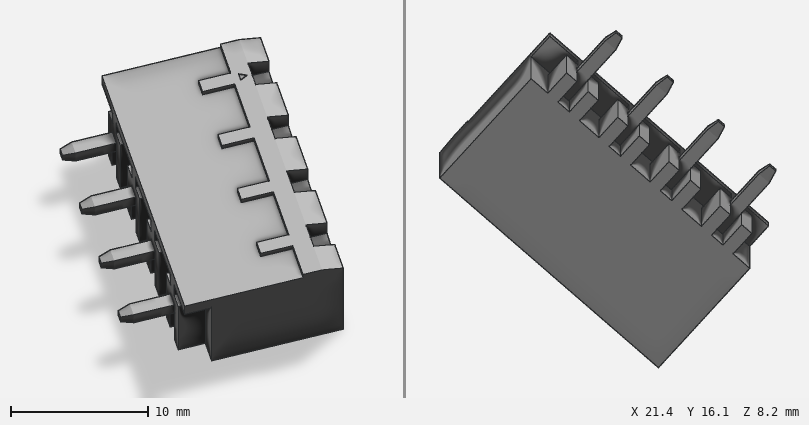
import cadquery as cq

width = 21.4
total_length = 16.1
total_height = 8.2
pin_projection = 4.02
housing_depth = total_length - pin_projection
rear_y = 0
mating_y = rear_y + housing_depth

contact_count = 4
pitch = 5.0
contact_xs = [(i - (contact_count - 1) / 2) * pitch for i in range(contact_count)]

rib_height = 0.4
deck_z = total_height - rib_height
bevel_depth = 1.6
rib_reach = 3.05
tab_reach = 5.5
tab_width = 1.03

notch_width = 2.0
notch_depth = 1.71
notch_sag = 0.15

recess_depth = 2.05
deck_thickness = 1.05
recess_z = deck_z - deck_thickness
support_width = 3.1
support_height = 5.48
stem_width = 0.9

pin_side = 1.03
pin_tip_side = 0.6
pin_tip_length = 0.95
pin_z = 3.77
channel_width = 1.11
channel_height = pin_z + channel_width / 2

mark_width = 0.55
mark_height = 0.54
mark_apex_reach = 2.0
mark_depth = 0.09


def box(x_size, y_min, y_max, z_min, z_max, x_center=0):
    """Box centred on x_center, spanning the given Y and Z ranges."""
    size = (x_size, y_max - y_min, z_max - z_min)
    corner = (x_center - x_size / 2, y_min, z_min)
    return cq.Workplane("XY").box(*size, centered=False).translate(corner)


def housing():
    """Main block with the bevelled rib swept along its whole width."""
    profile = [
        (rear_y, 0),
        (mating_y, 0),
        (mating_y, deck_z),
        (mating_y - bevel_depth, total_height),
        (mating_y - rib_reach, total_height),
        (mating_y - rib_reach, deck_z),
        (rear_y, deck_z),
    ]
    return cq.Workplane("YZ").polyline(profile).close().extrude(width / 2, both=True)


def tab(x):
    return box(tab_width, mating_y - tab_reach, mating_y - rib_reach, deck_z, total_height, x)


def notch(x):
    """Cutter for one keying notch; its underside bulges down as an arc."""
    edge_z = total_height - notch_depth
    half_width = notch_width / 2
    return (
        cq.Workplane("XZ", origin=(x, mating_y, 0))
        .moveTo(-half_width, total_height)
        .lineTo(-half_width, edge_z)
        .threePointArc((0, edge_z - notch_sag), (half_width, edge_z))
        .lineTo(half_width, total_height)
        .close()
        .extrude(bevel_depth)
    )


def support(x):
    """Contact support: a block split by the pin channel, hung from the deck by a stem."""
    block = box(support_width, rear_y, recess_depth, 0, support_height, x)
    stem = box(stem_width, rear_y, recess_depth, support_height, recess_z, x)
    channel = box(channel_width, rear_y, recess_depth, 0, channel_height, x)
    return block.union(stem).cut(channel)


def pin(x):
    """Square pin rooted in the recess wall, ending in a tapered tip."""
    shank_end = rear_y - pin_projection + pin_tip_length
    shank = box(
        pin_side, shank_end, recess_depth, pin_z - pin_side / 2, pin_z + pin_side / 2, x
    )
    tip = (
        cq.Workplane("XZ", origin=(x, shank_end, pin_z))
        .rect(pin_side, pin_side)
        .workplane(offset=pin_tip_length)
        .rect(pin_tip_side, pin_tip_side)
        .loft(ruled=True)
    )
    return shank.union(tip)


def first_contact_mark():
    """Cutter for the shallow triangle pointing towards the mating edge."""
    x = contact_xs[0]
    apex_y = mating_y - mark_apex_reach
    base_y = apex_y - mark_height
    corners = [(x, apex_y), (x - mark_width / 2, base_y), (x + mark_width / 2, base_y)]
    return (
        cq.Workplane("XY", origin=(0, 0, total_height - mark_depth))
        .polyline(corners)
        .close()
        .extrude(mark_depth)
    )


body = housing().cut(box(width, rear_y, recess_depth, 0, recess_z))
for contact_x in contact_xs:
    body = body.union(tab(contact_x))
    body = body.cut(notch(contact_x))
    body = body.union(support(contact_x))
    body = body.union(pin(contact_x))

result = body.cut(first_contact_mark())